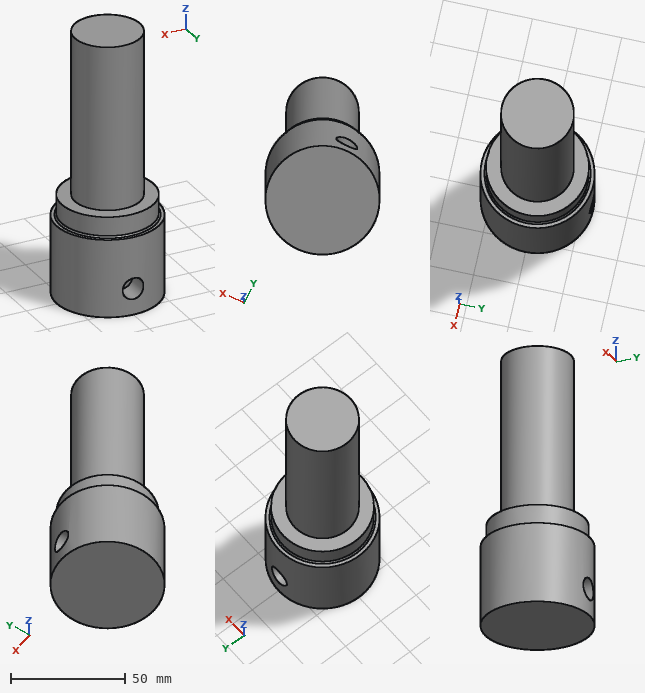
import cadquery as cq

total_height = 128.0
body_diameter = 50.0
collar_diameter = 45.0
shank_diameter = 32.0
shank_length = 80.0
collar_height = 10.0
flare_size = 0.8

side_hole_diameter = 10.2
side_hole_height = 12.8
side_hole_depth = 11.0

body_radius = body_diameter / 2
collar_radius = collar_diameter / 2
shank_radius = shank_diameter / 2
collar_top = total_height - shank_length
body_top = collar_top - collar_height


def make_turned_part():
    """Half profile (radius, height) revolved about Z."""
    return (
        cq.Workplane("XZ")
        .moveTo(0, 0)
        .lineTo(body_radius, 0)
        .lineTo(body_radius, body_top)
        .lineTo(collar_radius + flare_size, body_top)
        .lineTo(collar_radius, body_top + flare_size)
        .lineTo(collar_radius, collar_top)
        .lineTo(shank_radius, collar_top)
        .lineTo(shank_radius, total_height)
        .lineTo(0, total_height)
        .close()
        .revolve(360, (0, 0, 0), (0, 1, 0))
    )


def make_side_hole():
    """Cylinder running inward from the +Y side of the body."""
    return (
        cq.Workplane("XZ", origin=(0, body_radius, side_hole_height))
        .circle(side_hole_diameter / 2)
        .extrude(side_hole_depth)
    )


result = make_turned_part().cut(make_side_hole())